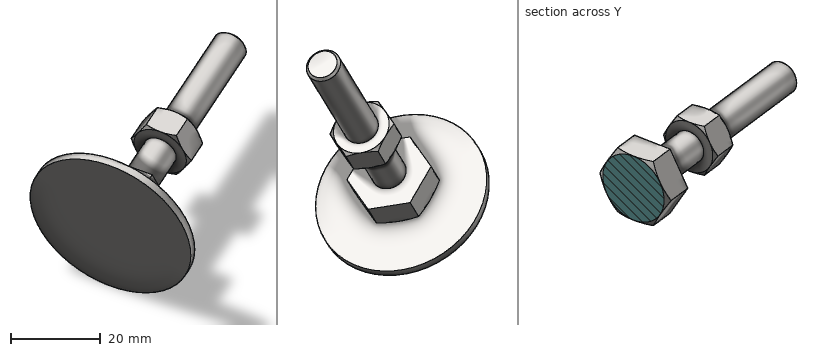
import cadquery as cq
import math

overall_length = 61.0

plate_diameter = 40.0
plate_thickness = 2.0
neck_length = 1.9
neck_base_diameter = 7.8
neck_tip_diameter = 4.4

stud_diameter = 8.0
stud_tip_chamfer = 0.6
head_across_flats = 17.0
head_thickness = 7.15

nut_across_flats = 13.0
nut_thickness = 6.85
nut_start = 25.1

corner_chamfer_angle = 30.0

head_start = plate_thickness + neck_length
head_end = head_start + head_thickness


def cylinder_along_y(diameter, start, length):
    """A cylinder centred on the Y axis, running toward +Y from start."""
    return cq.Workplane("XZ", origin=(0, start, 0)).circle(diameter / 2).extrude(-length)


def chamfered_hexagon(across_flats, start, thickness, chamfer_far_end):
    """A hexagonal prism along Y with two corners on X and conically cut corners."""
    flat_radius = across_flats / 2
    corner_radius = flat_radius / math.cos(math.pi / 6)
    chamfer_height = (corner_radius - flat_radius) * math.tan(math.radians(corner_chamfer_angle))
    end = start + thickness

    prism = (
        cq.Workplane("XZ", origin=(0, start, 0))
        .polygon(6, 2 * corner_radius)
        .extrude(-thickness)
    )
    blank = (
        cq.Workplane("XY")
        .moveTo(0, start)
        .lineTo(flat_radius, start)
        .lineTo(corner_radius, start + chamfer_height)
    )
    if chamfer_far_end:
        blank = blank.lineTo(corner_radius, end - chamfer_height).lineTo(flat_radius, end)
    else:
        blank = blank.lineTo(corner_radius, end)
    blank = blank.lineTo(0, end).close().revolve(360, (0, 0, 0), (0, 1, 0))
    return prism.intersect(blank)


def make_foot():
    """The round plate with the cone that narrows toward the stud head."""
    plate = cylinder_along_y(plate_diameter, 0, plate_thickness)
    neck = (
        cq.Workplane("XY")
        .moveTo(0, plate_thickness)
        .lineTo(neck_base_diameter / 2, plate_thickness)
        .lineTo(neck_tip_diameter / 2, head_start)
        .lineTo(0, head_start)
        .close()
        .revolve(360, (0, 0, 0), (0, 1, 0))
    )
    return plate.union(neck)


def make_stud():
    """The plain rod and its head, chamfered on the side facing the plate."""
    head = chamfered_hexagon(head_across_flats, head_start, head_thickness, chamfer_far_end=False)
    rod = cylinder_along_y(stud_diameter, head_end, overall_length - head_end)
    rod = rod.faces(">Y").chamfer(stud_tip_chamfer)
    return head.union(rod)


def make_nut():
    """The nut, chamfered on both sides, with a bore that fits the stud."""
    body = chamfered_hexagon(nut_across_flats, nut_start, nut_thickness, chamfer_far_end=True)
    bore = cylinder_along_y(stud_diameter, nut_start, nut_thickness)
    return body.cut(bore)


foot = make_foot()
stud = make_stud()
nut = make_nut()

result = cq.Compound.makeCompound([foot.val(), stud.val(), nut.val()])